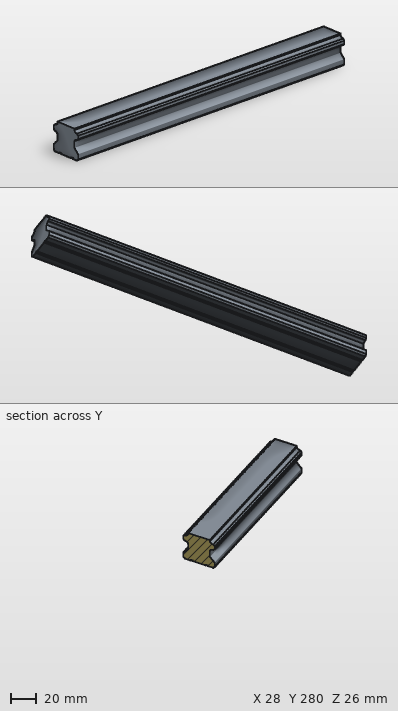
import cadquery as cq
import math

LENGTH = 280.0
WIDTH = 28.0
HEIGHT = 26.0

NECK_WIDTH = 19.4
HEAD_THICKNESS = 5.45
HEAD_MID_HEIGHT = 19.97
HEAD_BEVEL = 1.3
GROOVE_RADIUS = 2.9
GROOVE_CENTER_X = 12.5
NECK_TAPER_WIDTH = 0.15
NECK_TAPER_HEIGHT = 1.7

FOOT_SIDE_TOP = 5.7
FOOT_CHAMFER = 1.5
FOOT_BLEND_RADIUS = 0.9

RELIEF_OFFSET = 6.75
RELIEF_WIDTH = 1.7
RELIEF_DEPTH = 0.6

PLUG_COUNT = 4
PLUG_PITCH = 80.0
PLUG_DIAMETER = 14.0
PLUG_DEPTH = 3.0


def fillet_along_rail(body, x, z, radius):
    """Round the lengthwise edge that passes through (x, z)."""
    return body.edges(cq.selectors.NearestToPointSelector((x, 0, z))).fillet(radius)


def groove_rise(x):
    """Height difference along a groove circle between its center line and x."""
    return GROOVE_RADIUS - math.sqrt(GROOVE_RADIUS**2 - (GROOVE_CENTER_X - x) ** 2)


def right_half():
    """Extrude the +X half of the rail section along the full length."""
    side = WIDTH / 2
    neck = NECK_WIDTH / 2
    slope_top = FOOT_SIDE_TOP + side - neck

    head_top = HEAD_MID_HEIGHT + HEAD_THICKNESS / 2
    head_bottom = HEAD_MID_HEIGHT - HEAD_THICKNESS / 2

    taper_x = neck + NECK_TAPER_WIDTH
    upper_groove_end = head_top + groove_rise(neck)
    lower_groove_end = head_bottom - groove_rise(taper_x)

    half = (
        cq.Workplane("XZ", origin=(0, LENGTH / 2, 0))
        .moveTo(0, 0)
        .lineTo(side - FOOT_CHAMFER, 0)
        .lineTo(side, FOOT_CHAMFER)
        .lineTo(side, FOOT_SIDE_TOP)
        .lineTo(neck, slope_top)
        .lineTo(neck, lower_groove_end - NECK_TAPER_HEIGHT)
        .lineTo(taper_x, lower_groove_end)
        .radiusArc((GROOVE_CENTER_X, head_bottom), GROOVE_RADIUS)
        .lineTo(side - HEAD_BEVEL, head_bottom)
        .lineTo(side, head_bottom + HEAD_BEVEL)
        .lineTo(side, head_top - HEAD_BEVEL)
        .lineTo(side - HEAD_BEVEL, head_top)
        .lineTo(GROOVE_CENTER_X, head_top)
        .radiusArc((neck, upper_groove_end), GROOVE_RADIUS)
        .lineTo(neck, HEIGHT)
        .lineTo(0, HEIGHT)
        .close()
        .extrude(LENGTH)
    )
    half = fillet_along_rail(half, neck, slope_top, FOOT_BLEND_RADIUS)
    return fillet_along_rail(half, side, FOOT_SIDE_TOP, FOOT_BLEND_RADIUS)


def relief_grooves():
    return (
        cq.Workplane("XY")
        .rarray(2 * RELIEF_OFFSET, 1, 2, 1)
        .rect(RELIEF_WIDTH, LENGTH)
        .extrude(RELIEF_DEPTH)
    )


def plugs():
    return (
        cq.Workplane("XY", origin=(0, 0, HEIGHT - PLUG_DEPTH))
        .rarray(1, PLUG_PITCH, 1, PLUG_COUNT)
        .circle(PLUG_DIAMETER / 2)
        .extrude(PLUG_DEPTH)
    )


half_rail = right_half()
rail = half_rail.union(half_rail.mirror("YZ")).cut(relief_grooves())

result = rail.cut(plugs()).union(plugs(), clean=False).solids()